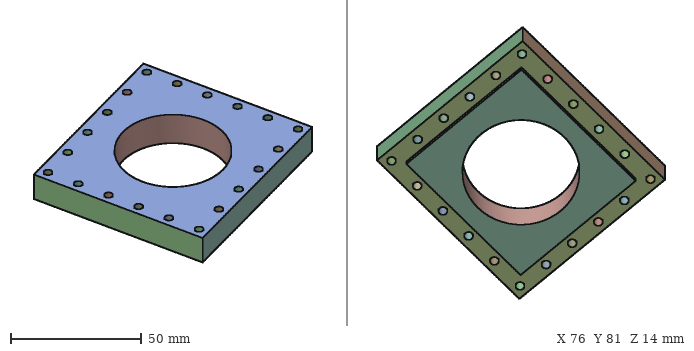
import cadquery as cq

width = 76.0
length = 81.0
height = 14.0

step_height = 2.0
step_width = 60.0
step_length = 65.0

bore_diameter = 45.0

hole_diameter = 3.4
hole_inset = 4.0
holes_per_side = 6

plate_height = height - step_height
hole_span_x = width - 2 * hole_inset
hole_span_y = length - 2 * hole_inset


def edge_hole_points():
    """Evenly spaced points along all four edges, each corner listed once."""
    last = holes_per_side - 1
    return [
        (hole_span_x * (i / last - 0.5), hole_span_y * (j / last - 0.5))
        for i in range(holes_per_side)
        for j in range(holes_per_side)
        if i in (0, last) or j in (0, last)
    ]


step = cq.Workplane("XY").rect(step_width, step_length).extrude(step_height)
plate = cq.Workplane("XY", origin=(0, 0, step_height)).rect(width, length).extrude(plate_height)

bore = cq.Workplane("XY").circle(bore_diameter / 2).extrude(height)
screw_holes = cq.Workplane("XY").pushPoints(edge_hole_points()).circle(hole_diameter / 2).extrude(height)

result = step.union(plate).cut(bore).cut(screw_holes)